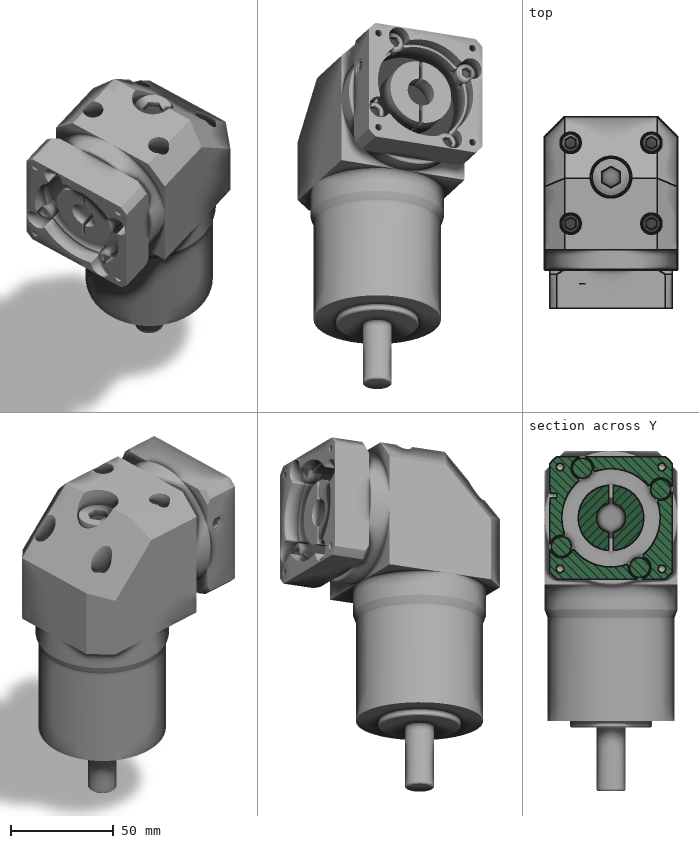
import cadquery as cq
import math


HEX_DEPTH = 3.0

BLOCK = 65.0
HALF_BLOCK = BLOCK / 2
SLOPE_LEG = 30.1
EDGE_BEVEL = 10.0

OVERALL_HEIGHT = 165.5
COLLAR_HEIGHT = 12.0
CONE_HEIGHT = 4.0
STAGE_DIAMETER = 62.0
STAGE_HEIGHT = 50.5
PILOT_DIAMETER = 40.0
PILOT_HEIGHT = 3.0
SHAFT_DIAMETER = 14.0
SHAFT_LENGTH = OVERALL_HEIGHT - BLOCK - COLLAR_HEIGHT - CONE_HEIGHT - STAGE_HEIGHT - PILOT_HEIGHT
SMALL_CHAMFER = 0.5

FLANGE_THICKNESS = 10.0
FLANGE_FACE_Y = -HALF_BLOCK - FLANGE_THICKNESS
FLANGE_RECESS_DEPTH = 3.0
SPIGOT_DIAMETER = 54.6
RECESS_FLOOR_Y = FLANGE_FACE_Y + FLANGE_RECESS_DEPTH

TOP_SCREW_OFFSET = 19.7
TOP_COUNTERBORE_DIAMETER = 10.3
TOP_HEAD_DIAMETER = 8.8
TOP_HEAD_Z = 5.0
TOP_HEAD_HEIGHT = 5.0
TOP_HEX = 5.1

PLUG_Y = 3.0
PLUG_HOLE_DIAMETER = 20.2
PLUG_DIAMETER = 18.5
PLUG_TOP_Z = 24.5
PLUG_HEIGHT = 5.0
PLUG_HEX = 9.0
PLUG_HEX_DEPTH = 3.3

OVERALL_DEPTH = 93.5
PLATE_SIDE = 59.9
PLATE_TURNED_DIAMETER = 80.0
PLATE_THICKNESS = OVERALL_DEPTH - BLOCK - FLANGE_THICKNESS
PLATE_FRONT_Y = FLANGE_FACE_Y - PLATE_THICKNESS
PLATE_BACK_CHAMFER = 2.0
CENTRING_DIAMETER = 50.3
CENTRING_DEPTH = 7.0
PLATE_BORE_DIAMETER = 47.7
MOTOR_HOLE_OFFSET = 24.8
MOTOR_HOLE_DIAMETER = 3.5
MOTOR_HOLE_DEPTH = 11.6
DRILL_POINT_ANGLE = 118.0

CAP_SCREW_RADIUS = 28.0
CAP_SCREW_ANGLES = (30, 120, 210, 300)
CAP_COUNTERBORE_DIAMETER = 10.8
CAP_COUNTERBORE_DEPTH = 11.9
CAP_HEAD_DIAMETER = 10.0
CAP_HEAD_HEIGHT = 6.0
CAP_HEAD_CHAMFER = 0.8
CAP_HEX = 5.1
CORNER_ROUND = 0.8
LENGTH_TOLERANCE = 0.02

SIDE_SCREW_SETBACK = 11.9
SIDE_SCREW_Z = 11.0
SIDE_SCREW_DIAMETER = 8.3
SIDE_SCREW_RECESS = 0.3
SIDE_HEX = 5.3

HUB_DIAMETER = 32.1
HUB_SETBACK = 6.0
HUB_BORE_DIAMETER = 13.9
HUB_RELIEF_DIAMETER = 20.0
HUB_RELIEF_DEPTH = 9.3
HUB_SLOT_WIDTH = 1.8
HUB_SLOT_DEPTH = 12.5


def cylinder_y(diameter, front_y, length, x=0.0, z=0.0):
    """A cylinder along Y that starts at front_y and runs rearwards."""
    return cq.Workplane("XZ", origin=(x, front_y, z)).circle(diameter / 2).extrude(-length)


def cylinder_z(diameter, bottom_z, length, x=0.0, y=0.0):
    """A cylinder along Z that starts at bottom_z and runs upwards."""
    return cq.Workplane("XY", origin=(x, y, bottom_z)).circle(diameter / 2).extrude(length)


def hex_prism(plane, origin, across_flats, length, turn=0.0):
    """A hexagonal prism along the plane's normal, with a corner on its local X axis when turn is 0."""
    across_corners = across_flats / math.cos(math.radians(30))
    sketch = cq.Workplane(plane, origin=origin).transformed(rotate=(0, 0, turn))
    return sketch.polygon(6, across_corners).extrude(length)


def bevelled_block():
    profile = [
        (-HALF_BLOCK, -HALF_BLOCK),
        (HALF_BLOCK, -HALF_BLOCK),
        (HALF_BLOCK, HALF_BLOCK - SLOPE_LEG),
        (HALF_BLOCK - SLOPE_LEG, HALF_BLOCK),
        (-HALF_BLOCK, HALF_BLOCK),
    ]
    block = cq.Workplane("YZ").polyline(profile).close().extrude(HALF_BLOCK, both=True)
    side_edges = block.faces("<X or >X").edges("not(<Y or <Z)")
    return side_edges.chamfer(EDGE_BEVEL)


def output_stage():
    """The turned gear stage, pilot and shaft below the block, as one profile around Z."""
    collar_z = -HALF_BLOCK - COLLAR_HEIGHT
    cone_z = collar_z - CONE_HEIGHT
    stage_z = cone_z - STAGE_HEIGHT
    pilot_z = stage_z - PILOT_HEIGHT
    shaft_z = pilot_z - SHAFT_LENGTH
    shaft_radius = SHAFT_DIAMETER / 2
    profile = [
        (0, -HALF_BLOCK),
        (HALF_BLOCK, -HALF_BLOCK),
        (HALF_BLOCK, collar_z),
        (STAGE_DIAMETER / 2, cone_z),
        (STAGE_DIAMETER / 2, stage_z),
        (PILOT_DIAMETER / 2, stage_z),
        (PILOT_DIAMETER / 2, pilot_z + SMALL_CHAMFER),
        (PILOT_DIAMETER / 2 - SMALL_CHAMFER, pilot_z),
        (shaft_radius, pilot_z),
        (shaft_radius, shaft_z + SMALL_CHAMFER),
        (shaft_radius - SMALL_CHAMFER, shaft_z),
        (0, shaft_z),
    ]
    return cq.Workplane("XZ").polyline(profile).close().revolve(360, (0, 0, 0), (0, 1, 0))


def input_flange():
    flange = cylinder_y(BLOCK, FLANGE_FACE_Y, FLANGE_THICKNESS)
    return flange.faces("<Y").chamfer(SMALL_CHAMFER)


def plate_spigot():
    """The centring spigot behind the adapter plate, which fills the recess in the flange."""
    return cylinder_y(SPIGOT_DIAMETER, FLANGE_FACE_Y, FLANGE_RECESS_DEPTH)


def sink_top_screw(body, x, y):
    """Cuts one top counterbore down to the head's seat and puts the socket head in it."""
    seat_z = TOP_HEAD_Z - TOP_HEAD_HEIGHT
    pocket = cylinder_z(TOP_COUNTERBORE_DIAMETER, seat_z, HALF_BLOCK - seat_z, x, y)
    head = cylinder_z(TOP_HEAD_DIAMETER, seat_z, TOP_HEAD_HEIGHT, x, y)
    socket = hex_prism("XY", (x, y, TOP_HEAD_Z), TOP_HEX, -HEX_DEPTH, turn=90)
    return body.cut(pocket).union(head.cut(socket))


def sink_plug(body):
    seat_z = PLUG_TOP_Z - PLUG_HEIGHT
    pocket = cylinder_z(PLUG_HOLE_DIAMETER, seat_z, HALF_BLOCK - seat_z, 0, PLUG_Y)
    plug = cylinder_z(PLUG_DIAMETER, seat_z, PLUG_HEIGHT, 0, PLUG_Y)
    socket = hex_prism("XY", (0, PLUG_Y, PLUG_TOP_Z), PLUG_HEX, -PLUG_HEX_DEPTH, turn=90)
    return body.cut(pocket).union(plug.cut(socket))


def make_gear_housing():
    body = bevelled_block().union(output_stage()).union(input_flange()).cut(plate_spigot())
    for x in (-TOP_SCREW_OFFSET, TOP_SCREW_OFFSET):
        for y in (-TOP_SCREW_OFFSET, TOP_SCREW_OFFSET):
            body = sink_top_screw(body, x, y)
    return sink_plug(body)


def plate_blank():
    """Square plate with its corners turned round and the turned rear edge chamfered."""
    square = cq.Workplane("XZ", origin=(0, PLATE_FRONT_Y, 0)).rect(PLATE_SIDE, PLATE_SIDE)
    disc = cylinder_y(PLATE_TURNED_DIAMETER, PLATE_FRONT_Y, PLATE_THICKNESS)
    return square.extrude(-PLATE_THICKNESS).intersect(disc.faces(">Y").chamfer(PLATE_BACK_CHAMFER))


def cap_screw_places():
    for angle in CAP_SCREW_ANGLES:
        turn = math.radians(angle)
        yield angle, CAP_SCREW_RADIUS * math.cos(turn), CAP_SCREW_RADIUS * math.sin(turn)


def is_meeting_edge(edge, radius):
    """True for an edge along Y where a bore of the given radius meets a counterbore.

    The bore's own seam, which lies at Z = 0, is not such an edge.
    """
    start = edge.startPoint()
    end = edge.endPoint()
    along_y = math.isclose(start.x, end.x, abs_tol=LENGTH_TOLERANCE) and start.y != end.y
    on_bore = math.isclose(math.hypot(start.x, start.z), radius, abs_tol=LENGTH_TOLERANCE)
    return along_y and on_bore and abs(start.z) > LENGTH_TOLERANCE


def plate_opening():
    """The stepped bore joined with the cap screw counterbores, with rounded meeting corners."""
    step_y = PLATE_FRONT_Y + CENTRING_DEPTH
    seat_y = PLATE_FRONT_Y + CAP_COUNTERBORE_DEPTH
    levels = [
        (CENTRING_DIAMETER, PLATE_FRONT_Y, CENTRING_DEPTH),
        (PLATE_BORE_DIAMETER, step_y, seat_y - step_y),
    ]
    opening = cylinder_y(PLATE_BORE_DIAMETER, seat_y, RECESS_FLOOR_Y - seat_y)
    for diameter, front_y, depth in levels:
        level = cylinder_y(diameter, front_y, depth)
        for _, x, z in cap_screw_places():
            level = level.union(cylinder_y(CAP_COUNTERBORE_DIAMETER, front_y, depth, x, z))
        edges = level.edges().vals()
        meeting_edges = [edge for edge in edges if is_meeting_edge(edge, diameter / 2)]
        opening = opening.union(level.newObject(meeting_edges).fillet(CORNER_ROUND))
    return opening


def cap_screw_head(angle, x, z):
    top_y = PLATE_FRONT_Y + CAP_COUNTERBORE_DEPTH - CAP_HEAD_HEIGHT
    head = cylinder_y(CAP_HEAD_DIAMETER, top_y, CAP_HEAD_HEIGHT, x, z)
    head = head.faces("<Y").chamfer(CAP_HEAD_CHAMFER)
    return head.cut(hex_prism("XZ", (x, top_y, z), CAP_HEX, -HEX_DEPTH, turn=angle - 120))


def motor_hole(x, z):
    """A blind hole with a drill point."""
    radius = MOTOR_HOLE_DIAMETER / 2
    point_depth = radius / math.tan(math.radians(DRILL_POINT_ANGLE / 2))
    profile = [(0, 0), (radius, 0), (radius, MOTOR_HOLE_DEPTH), (0, MOTOR_HOLE_DEPTH + point_depth)]
    drill = cq.Workplane("XY").polyline(profile).close().revolve(360, (0, 0, 0), (0, 1, 0))
    return drill.translate((x, PLATE_FRONT_Y, z))


def side_screw_recess():
    """The shallow recess and hexagon socket of the screw in the -X side of the plate."""
    y = PLATE_FRONT_Y + SIDE_SCREW_SETBACK
    side_x = -PLATE_SIDE / 2
    recess = cq.Workplane("YZ", origin=(side_x, y, SIDE_SCREW_Z)).circle(SIDE_SCREW_DIAMETER / 2)
    socket = hex_prism("YZ", (side_x, y, SIDE_SCREW_Z), SIDE_HEX, SIDE_SCREW_RECESS + HEX_DEPTH)
    return recess.extrude(SIDE_SCREW_RECESS).union(socket)


def make_adapter_plate():
    body = plate_blank().union(plate_spigot()).cut(plate_opening())
    for angle, x, z in cap_screw_places():
        body = body.union(cap_screw_head(angle, x, z))
    for x in (-MOTOR_HOLE_OFFSET, MOTOR_HOLE_OFFSET):
        for z in (-MOTOR_HOLE_OFFSET, MOTOR_HOLE_OFFSET):
            body = body.cut(motor_hole(x, z))
    return body.cut(side_screw_recess())


def make_clamp_hub():
    front_y = PLATE_FRONT_Y + HUB_SETBACK
    length = RECESS_FLOOR_Y - front_y
    relief_y = front_y + HUB_RELIEF_DEPTH
    hub = cylinder_y(HUB_DIAMETER, front_y, length)
    bore = cylinder_y(HUB_BORE_DIAMETER, front_y, length)
    relief = cylinder_y(HUB_RELIEF_DIAMETER, relief_y, RECESS_FLOOR_Y - relief_y)
    slot = cq.Workplane("XZ", origin=(0, front_y, 0)).rect(HUB_SLOT_WIDTH, HUB_DIAMETER)
    return hub.cut(bore).cut(relief).cut(slot.extrude(-HUB_SLOT_DEPTH))


gear_housing = make_gear_housing()
adapter_plate = make_adapter_plate()
clamp_hub = make_clamp_hub()

result = cq.Compound.makeCompound([
    *gear_housing.solids().vals(),
    *adapter_plate.solids().vals(),
    *clamp_hub.solids().vals(),
])